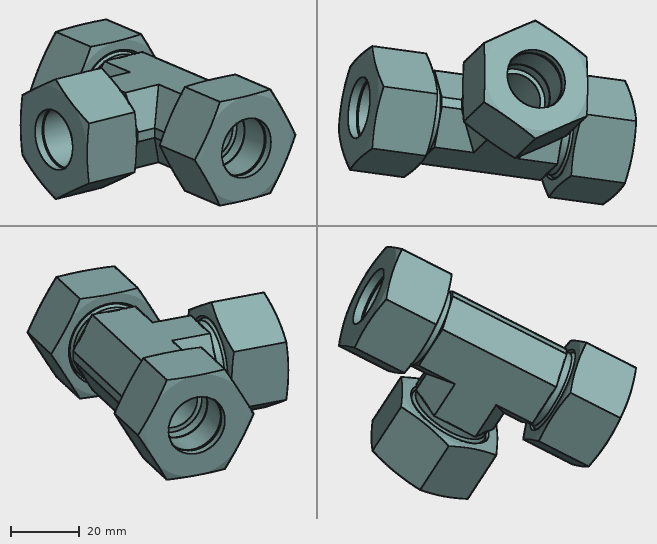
import cadquery as cq
import math


ARMS = [(0, 0), (180, 0), (-90, 90)]

arm_length = 40.0
nut_length = 18.1
nut_inner_face = arm_length - nut_length
block_end = 19.1
relief_end = 21.4
stud_end = 31.0
tube_stop = 23.5
nut_lip_depth = 2.6
nut_lip_inside = arm_length - nut_lip_depth
ring_front = 27.2
ring_back = 36.9

nut_flats = 32.0
nut_entry_diameter = 26.2
nut_chamfer_angle = 15.0
thread_diameter = 25.0
relief_diameter = 23.7
relief_cone_angle = 30.0
tube_diameter = 18.0
flow_diameter = 15.0
socket_mouth_diameter = 20.0
socket_half_angle = 12.0
ring_diameter = 22.4

block_flats = 24.0
block_width = 26.0

thread_radius = thread_diameter / 2
relief_radius = relief_diameter / 2
nut_entry_radius = nut_entry_diameter / 2
tube_radius = tube_diameter / 2
flow_radius = flow_diameter / 2
mouth_radius = socket_mouth_diameter / 2
ring_radius = ring_diameter / 2


def hex_corners(flats):
    """Diameter over the corners of a hexagon of the given width over flats."""
    return flats / math.cos(math.radians(30))


def turned(profile):
    """Revolve a closed (x, radius) profile about the X axis."""
    return cq.Workplane("XY").polyline(profile).close().revolve(360, (0, 0, 0), (1, 0, 0))


def turn_into_place(shape, turn):
    return shape.rotate((0, 0, 0), (0, 0, 1), turn)



def socket_radius(x):
    """Radius of the conical ring seat at station x."""
    return mouth_radius - (stud_end - x) * math.tan(math.radians(socket_half_angle))


def block_arm():
    """Prism from the crossing point to the end face of the block."""
    hexagon = cq.Workplane("YZ").polygon(6, hex_corners(block_flats)).extrude(block_end)
    side_limit = cq.Workplane("XY").box(2 * block_end, block_width, block_flats)
    return hexagon.intersect(side_limit)


def stud():
    """Thread relief followed by the threaded stud, joined by a cone."""
    cone_length = (thread_radius - relief_radius) / math.tan(math.radians(relief_cone_angle))
    return turned([
        (0, 0),
        (0, flow_radius),
        (block_end, flow_radius),
        (block_end, relief_radius),
        (relief_end, relief_radius),
        (relief_end + cone_length, thread_radius),
        (stud_end, thread_radius),
        (stud_end, 0),
    ])


def stud_bore():
    """Flow bore, tube socket up to the tube stop, and conical ring seat."""
    cone_start = stud_end - (mouth_radius - tube_radius) / math.tan(math.radians(socket_half_angle))
    return turned([
        (0, 0),
        (0, flow_radius),
        (tube_stop, flow_radius),
        (tube_stop, tube_radius),
        (cone_start, tube_radius),
        (stud_end, mouth_radius),
        (stud_end, 0),
    ])


def make_tee_body():
    body = cq.Workplane("XY")
    for turn, _ in ARMS:
        body = body.union(turn_into_place(block_arm(), turn))
        body = body.union(turn_into_place(stud(), turn))
    for turn, _ in ARMS:
        body = body.cut(turn_into_place(stud_bore(), turn))
    return body



def nut_chamfer_envelope():
    """Turned blank that bevels the hexagon corners at both ends."""
    face_radius = nut_flats / 2
    corner_radius = hex_corners(nut_flats) / 2
    bevel = (corner_radius - face_radius) * math.tan(math.radians(nut_chamfer_angle))
    return turned([
        (nut_inner_face, 0),
        (nut_inner_face, face_radius),
        (nut_inner_face + bevel, corner_radius),
        (arm_length - bevel, corner_radius),
        (arm_length, face_radius),
        (arm_length, 0),
    ])


def nut_bore():
    """Countersunk entry, threaded bore, 45 degree ring seat and tube opening through the lip."""
    seat_start = nut_lip_inside - (thread_radius - tube_radius)
    return turned([
        (nut_inner_face, 0),
        (nut_inner_face, nut_entry_radius),
        (nut_inner_face + nut_entry_radius - thread_radius, thread_radius),
        (seat_start, thread_radius),
        (nut_lip_inside, tube_radius),
        (arm_length, tube_radius),
        (arm_length, 0),
    ])


def make_nut(turn, roll):
    hexagon = (
        cq.Workplane("YZ", origin=(nut_inner_face, 0, 0))
        .polygon(6, hex_corners(nut_flats))
        .extrude(nut_length)
    )
    nut = hexagon.intersect(nut_chamfer_envelope()).cut(nut_bore())
    nut = nut.rotate((0, 0, 0), (1, 0, 0), roll)
    return turn_into_place(nut, turn)



def make_ring(turn):
    """Ring wedged between the stud's conical seat and the nut's 45 degree seat."""
    back_radius = tube_radius + nut_lip_inside - ring_back
    shoulder = ring_back - (ring_radius - back_radius)
    ring = turned([
        (ring_front, tube_radius),
        (ring_front, socket_radius(ring_front)),
        (stud_end, mouth_radius),
        (stud_end, ring_radius),
        (shoulder, ring_radius),
        (ring_back, back_radius),
        (ring_back, tube_radius),
    ])
    return turn_into_place(ring, turn)



tee_body = make_tee_body()
nuts = [make_nut(turn, roll) for turn, roll in ARMS]
rings = [make_ring(turn) for turn, _ in ARMS]

result = cq.Compound.makeCompound([
    tee_body.val(),
    *[nut.val() for nut in nuts],
    *[ring.val() for ring in rings],
])